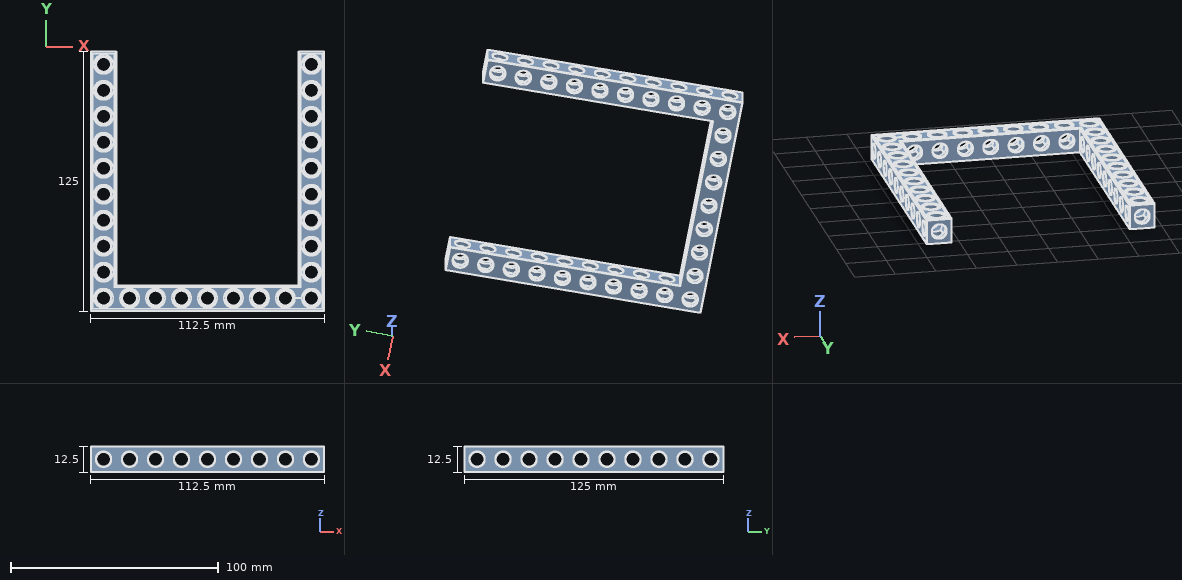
import cadquery as cq

pitch = 12.5
base_cells = 9
arm_cells = 10
beam = pitch
width = base_cells * pitch
length = arm_cells * pitch
middle = beam / 2
edge_chamfer = 0.3

hole_diameter = 7.0
mouth_chamfer = edge_chamfer

rim_width = 1.05
collar_diameter = 9.2
recess_depth = 0.2

rib_width = 0.2

base_x = [(i + 0.5) * pitch for i in range(base_cells)]
arm_y = [(i + 0.5) * pitch for i in range(arm_cells)]
arm_x = (base_x[0], base_x[-1])
hole_centres = [(x, middle) for x in base_x]
hole_centres += [(x, y) for x in arm_x for y in arm_y[1:]]


def u_outline(inset):
    """Closed U outline, open toward +Y, moved inward by the inset."""
    left = inset
    right = width - inset
    front = inset
    back = length - inset
    inner = beam - inset
    points = [
        (left, front),
        (right, front),
        (right, back),
        (width - inner, back),
        (width - inner, inner),
        (inner, inner),
        (inner, back),
        (left, back),
    ]
    return cq.Workplane("XY").polyline(points).close()


def frame_blank():
    """U-shaped frame with every edge chamfered except the two sharp inside corners."""
    margin = beam / 4
    inside_corners = cq.selectors.BoxSelector(
        (beam - margin, beam - margin, middle - margin),
        (width - beam + margin, beam + margin, middle + margin),
    )
    blank = u_outline(0).extrude(beam)
    return blank.edges(-inside_corners).chamfer(edge_chamfer)


def top_recess():
    """Cutter for the recess floor between the rim, the collars and the rib."""
    floor_z = beam - recess_depth
    recess = u_outline(rim_width).extrude(recess_depth).translate((0, 0, floor_z))
    collars = (
        cq.Workplane("XY", origin=(0, 0, floor_z))
        .pushPoints(hole_centres)
        .circle(collar_diameter / 2)
        .extrude(recess_depth)
    )
    rib = (
        cq.Workplane("XY", origin=(base_x[-1] - pitch / 2, middle, floor_z))
        .rect(pitch, rib_width)
        .extrude(recess_depth)
    )
    return recess.cut(collars).cut(rib)


def beam_hole(depth):
    """Cutter for a hole along +Z from the origin, chamfered at both mouths."""
    radius = hole_diameter / 2
    mouth_radius = radius + mouth_chamfer
    profile = [
        (0, 0),
        (mouth_radius, 0),
        (radius, mouth_chamfer),
        (radius, depth - mouth_chamfer),
        (mouth_radius, depth),
        (0, depth),
    ]
    return cq.Workplane("XZ").polyline(profile).close().revolve(360, (0, 0), (0, 1))


def hole_along_x(depth):
    return beam_hole(depth).rotate((0, 0, 0), (0, 1, 0), 90)


def hole_along_y(depth):
    return beam_hole(depth).rotate((0, 0, 0), (1, 0, 0), -90)


cutters = [top_recess()]
for x, y in hole_centres:
    cutters.append(beam_hole(beam).translate((x, y, 0)))
for y in arm_y[1:]:
    for x in arm_x:
        cutters.append(hole_along_x(beam).translate((x - middle, y, middle)))
for x in base_x[1:-1]:
    cutters.append(hole_along_y(beam).translate((x, 0, middle)))
cutters.append(hole_along_x(width).translate((0, middle, middle)))
for x in arm_x:
    cutters.append(hole_along_y(length).translate((x, 0, middle)))

result = frame_blank()
for cutter in cutters:
    result = result.cut(cutter)